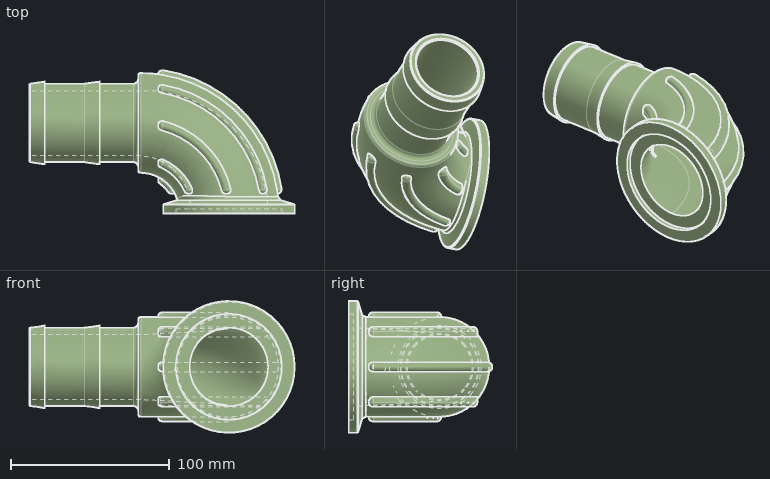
import cadquery as cq
import math


bend_radius = 55.56
end_offset = 57.15
tail_length = 68.58
body_radius = 31.5

tail_radius = 49.53 / 2
tail_bore_radius = 40.89 / 2
tail_end_chamfer = 0.5
tail_bore_chamfer = 0.8
barb_radius = 26.15
barb_length = 9.8
second_barb_start = 34.5
tail_root_fillet = 3.05
collar_round = end_offset - bend_radius

flange_radius = 83.06 / 2
flange_rim_thickness = 6.1
flange_height = 8.6
flange_rim_chamfer = 0.6
flange_hub_radius = 32.6
neck_end_height = 11.2
neck_inset = 0.2
flange_bore_radius = 49.53 / 2
recess_radius = 66.8 / 2
recess_depth = 3.0

rib_radius = 2.95
rib_count = 8
rib_root_depth = 5.0
rib_end_offset = 44.6
rib_end_round = 2.6

tail_end_x = -end_offset - tail_length
bend_axis = ((-bend_radius, 1, 0), (-bend_radius, -1, 0))
flange_face_y = -end_offset


def revolve_about_tail(profile):
    return profile.close().revolve(360, (0, 0, 0), (1, 0, 0))


def revolve_about_flange(profile):
    return profile.close().revolve(360, (0, 0, 0), (0, 1, 0))


def make_bend():
    """Quarter torus from the collar plane into the flange."""
    section = cq.Workplane("YZ", origin=(-bend_radius, 0, 0)).circle(body_radius)
    return section.revolve(90, *bend_axis)


def make_tail():
    """Hose tail with two barbs, its root fillet and the collar."""
    first_barb_x = tail_end_x + barb_length
    second_barb_x = tail_end_x + second_barb_start
    profile = (
        cq.Workplane("XY")
        .moveTo(tail_end_x, 0)
        .lineTo(tail_end_x, tail_radius - tail_end_chamfer)
        .lineTo(tail_end_x + tail_end_chamfer, tail_radius)
        .lineTo(first_barb_x, barb_radius)
        .lineTo(first_barb_x, tail_radius)
        .lineTo(second_barb_x, tail_radius)
        .lineTo(second_barb_x + barb_length, barb_radius)
        .lineTo(second_barb_x + barb_length, tail_radius)
        .lineTo(-end_offset - tail_root_fillet, tail_radius)
        .radiusArc((-end_offset, tail_radius + tail_root_fillet), -tail_root_fillet)
        .lineTo(-end_offset, body_radius - collar_round)
        .radiusArc((-bend_radius, body_radius), collar_round)
        .lineTo(-bend_radius, 0)
    )
    return revolve_about_tail(profile)


def make_flange():
    """Flange disc with a sloped back."""
    profile = (
        cq.Workplane("XY")
        .moveTo(0, flange_face_y)
        .lineTo(flange_radius, flange_face_y)
        .lineTo(flange_radius, flange_face_y + flange_rim_thickness - flange_rim_chamfer)
        .lineTo(flange_radius - flange_rim_chamfer, flange_face_y + flange_rim_thickness)
        .lineTo(flange_hub_radius, flange_face_y + flange_height)
        .lineTo(0, flange_face_y + flange_height)
    )
    return revolve_about_flange(profile)


def make_neck():
    """Neck that leads from the round flange hub up to the oval level section of the bend."""
    neck_end_y = flange_face_y + neck_end_height
    rise = neck_end_y + bend_radius
    outer_x = math.sqrt((bend_radius + body_radius) ** 2 - rise**2) - bend_radius
    inner_x = math.sqrt((bend_radius - body_radius) ** 2 - rise**2) - bend_radius
    oval_half_width = (outer_x - inner_x) / 2 - neck_inset
    oval_half_height = body_radius - neck_inset
    return (
        cq.Workplane("XZ", origin=(0, flange_face_y + flange_height, 0))
        .circle(flange_hub_radius)
        .workplane(offset=flange_height - neck_end_height)
        .center((outer_x + inner_x) / 2, 0)
        .ellipse(oval_half_width, oval_half_height)
        .loft(ruled=True)
    )


def rib_profile(angle):
    """Section of a rib in the collar plane; angle is measured from +Y toward +Z.

    The crest is a half circle about a point on the body surface. Its two parallel
    sides run along Z, except on the two ribs in the Z = 0 plane, where they run along Y.
    """
    centre_y = body_radius * math.cos(math.radians(angle))
    centre_z = body_radius * math.sin(math.radians(angle))
    if angle % 180 == 0:
        facing = angle
    else:
        facing = 90 if angle < 180 else 270
    outward_y = math.cos(math.radians(facing))
    outward_z = math.sin(math.radians(facing))

    def point(outward, sideways):
        return (
            centre_y + outward * outward_y - sideways * outward_z,
            centre_z + outward * outward_z + sideways * outward_y,
        )

    return (
        cq.Workplane("YZ", origin=(-bend_radius, 0, 0))
        .moveTo(*point(-rib_root_depth, -rib_radius))
        .lineTo(*point(0, -rib_radius))
        .threePointArc(point(rib_radius, 0), point(0, rib_radius))
        .lineTo(*point(-rib_root_depth, rib_radius))
        .close()
    )


def make_rib(angle):
    """One rib swept round the bend, trimmed at both end planes and rounded there."""
    swept = rib_profile(angle).revolve(90, *bend_axis)
    keep_size = 4 * bend_radius
    keep = cq.Workplane("XY").box(keep_size, keep_size, keep_size, centered=(False, False, True))
    rib = swept.intersect(keep.translate((-rib_end_offset, -rib_end_offset, 0)))
    return rib.faces("<X or <Y").edges().fillet(rib_end_round)


def make_bore():
    """Waterway: straight in the tail, then widening round the bend to the flange."""
    straight = cq.Workplane("YZ", origin=(tail_end_x, 0, 0)).circle(tail_bore_radius)
    straight = straight.extrude(tail_length + collar_round)
    entry = (
        cq.Workplane("XY")
        .moveTo(tail_end_x, 0)
        .lineTo(tail_end_x, tail_bore_radius + tail_bore_chamfer)
        .lineTo(tail_end_x + tail_bore_chamfer, tail_bore_radius)
        .lineTo(tail_end_x + tail_bore_chamfer, 0)
    )
    path = cq.Workplane("XY").moveTo(-bend_radius, 0).radiusArc((0, -bend_radius), bend_radius)
    tail_circle = cq.Wire.makeCircle(tail_bore_radius, cq.Vector(-bend_radius, 0, 0), cq.Vector(1, 0, 0))
    flange_circle = cq.Wire.makeCircle(flange_bore_radius, cq.Vector(0, -bend_radius, 0), cq.Vector(0, -1, 0))
    widening = cq.Workplane(cq.Solid.sweep_multi([tail_circle, flange_circle], path.val()))
    recess = cq.Workplane("XZ", origin=(0, flange_face_y, 0)).circle(recess_radius).extrude(-recess_depth)
    return straight.union(revolve_about_tail(entry)).union(widening).union(recess)


body = make_bend().union(make_tail()).union(make_flange()).union(make_neck())
for index in range(rib_count):
    body = body.union(make_rib(index * 360 / rib_count))
result = body.cut(make_bore())